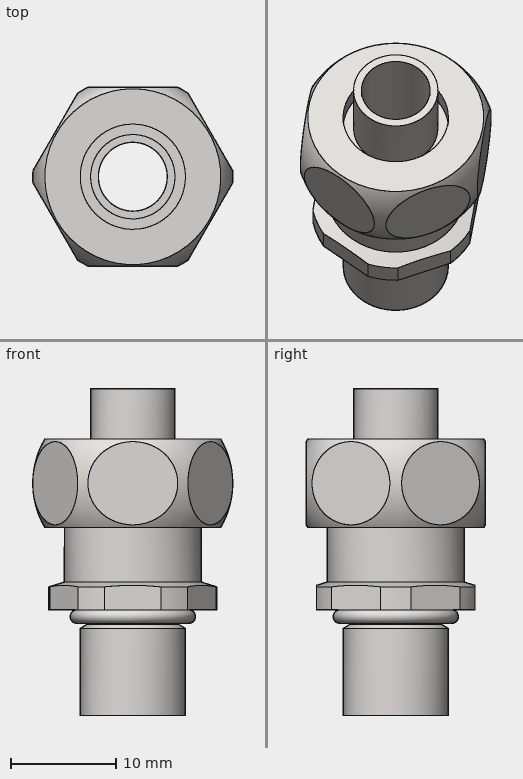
import cadquery as cq
import math

total_height = 31.0

tube_radius = 4.0
bore_radius = 3.25

stub_radius = 5.0
stub_shoulder_z = 8.28
neck_z = 8.65
neck_radius = 4.4

ring_outer_radius = 5.95
ring_section_radius = 0.65

flange_bottom_z = 10.05
flange_top_z = 12.68
flange_across_flats = 15.07
flange_corner_radius = 8.0
flange_cone_drop = 0.45

body_radius = 6.5

nut_bottom_z = 17.82
nut_top_z = 26.25
nut_across_flats = 17.0
nut_bulge_radius = 9.5
nut_face_radius = 8.35
recess_radius = stub_radius
recess_depth = 1.92


def cylinder(radius, bottom_z, top_z):
    return cq.Workplane("XY").workplane(offset=bottom_z).circle(radius).extrude(top_z - bottom_z)


def hexagon(across_flats, bottom_z, top_z):
    """Hexagonal prism with two corners on the X axis."""
    plane = cq.Workplane("XY").workplane(offset=bottom_z)
    across_corners = across_flats / math.cos(math.pi / 6)
    return plane.polygon(6, across_corners).extrude(top_z - bottom_z)


def turned(half_profile):
    """Revolve a closed (radius, z) outline about the Z axis."""
    return half_profile.close().revolve(360, (0, 0, 0), (0, 1, 0))


def threaded_end():
    profile = (
        cq.Workplane("YZ")
        .lineTo(stub_radius, 0)
        .lineTo(stub_radius, stub_shoulder_z)
        .lineTo(neck_radius, neck_z)
        .lineTo(neck_radius, flange_bottom_z)
        .lineTo(0, flange_bottom_z)
    )
    return turned(profile)


def sealing_ring():
    """Half-round rim around a solid disc seated on the neck."""
    rim_radius = ring_outer_radius - ring_section_radius
    center_z = flange_bottom_z - ring_section_radius
    bottom_z = center_z - ring_section_radius
    profile = (
        cq.Workplane("YZ")
        .moveTo(0, bottom_z)
        .lineTo(rim_radius, bottom_z)
        .threePointArc((ring_outer_radius, center_z), (rim_radius, flange_bottom_z))
        .lineTo(0, flange_bottom_z)
    )
    return turned(profile)


def flange():
    turning = (
        cq.Workplane("YZ")
        .moveTo(0, flange_bottom_z)
        .lineTo(flange_corner_radius, flange_bottom_z)
        .lineTo(flange_corner_radius, flange_top_z - flange_cone_drop)
        .lineTo(body_radius, flange_top_z)
        .lineTo(0, flange_top_z)
    )
    return hexagon(flange_across_flats, flange_bottom_z, flange_top_z).intersect(turned(turning))


def union_nut():
    middle_z = (nut_bottom_z + nut_top_z) / 2
    barrel = (
        cq.Workplane("YZ")
        .moveTo(0, nut_bottom_z)
        .lineTo(nut_face_radius, nut_bottom_z)
        .threePointArc((nut_bulge_radius, middle_z), (nut_face_radius, nut_top_z))
        .lineTo(0, nut_top_z)
    )
    nut = hexagon(nut_across_flats, nut_bottom_z, nut_top_z).intersect(turned(barrel))
    return nut.cut(cylinder(recess_radius, nut_top_z - recess_depth, nut_top_z))


result = (
    threaded_end()
    .union(sealing_ring())
    .union(flange())
    .union(cylinder(body_radius, flange_top_z, nut_bottom_z))
    .union(union_nut())
    .union(cylinder(tube_radius, nut_bottom_z, total_height))
    .cut(cylinder(bore_radius, 0, total_height))
)